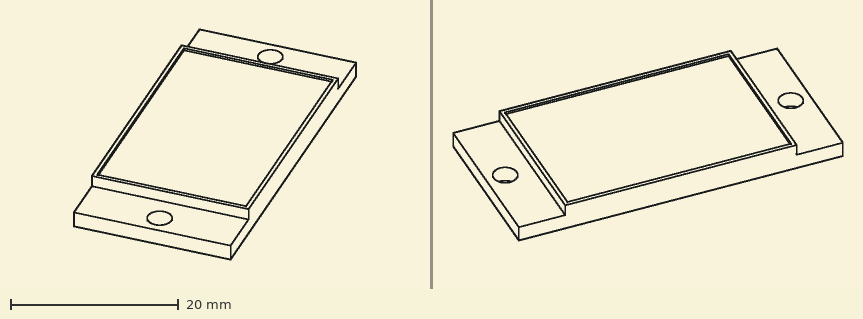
import cadquery as cq

length = 42.0
width = 20.0
base_thickness = 2.0

total_height = 3.5
platform_length = 30.0
rim_width = 0.5
recess_depth = 0.3

hole_diameter = 3.0
hole_spacing = 37.0


def make_base():
    return cq.Workplane("XY").box(width, length, base_thickness, centered=(True, True, False))


def make_platform():
    return cq.Workplane("XY").box(width, platform_length, total_height, centered=(True, True, False))


def make_recess():
    return (
        cq.Workplane("XY")
        .workplane(offset=total_height - recess_depth)
        .rect(width - 2 * rim_width, platform_length - 2 * rim_width)
        .extrude(recess_depth)
    )


def make_mounting_holes():
    return (
        cq.Workplane("XY")
        .pushPoints([(0, side * hole_spacing / 2) for side in (-1, 1)])
        .circle(hole_diameter / 2)
        .extrude(base_thickness)
    )


result = make_base().union(make_platform()).cut(make_recess()).cut(make_mounting_holes())